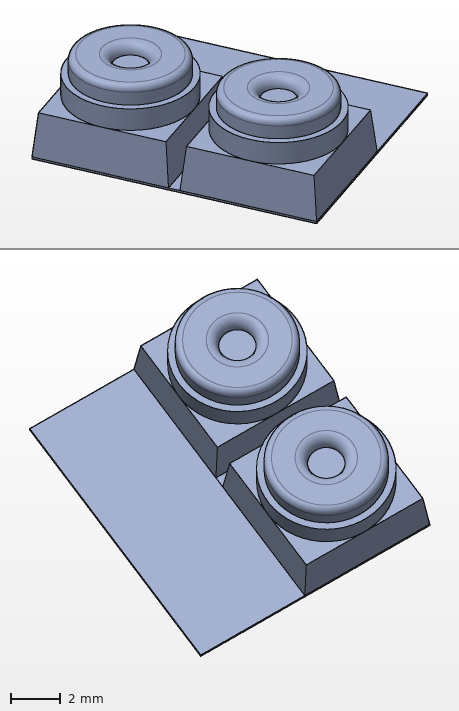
import cadquery as cq

total_width = 12.5
total_depth = 11.0
total_height = 4.0

board_thickness = 0.1

housing_side = 6.0
housing_height = 2.0
housing_taper_inset = 0.2
housing_top_side = housing_side - 2 * housing_taper_inset
housing_top_z = board_thickness + housing_height

collar_diameter = housing_top_side
collar_height = 1.0
barrel_diameter = 5.0
barrel_height = total_height - housing_top_z - collar_height
barrel_edge_radius = 0.3
lens_diameter = 1.5
lens_mouth_radius = 0.5

front_y = -total_depth / 2
housing_y = front_y + housing_side / 2
camera_x = (total_width - housing_side) / 2
camera_positions = [-camera_x, camera_x]
tail_depth = total_depth - housing_side
tail_y = front_y + housing_side + tail_depth / 2


def make_board(depth, center_y):
    """Flat board across the full width, resting on Z = 0."""
    return (
        cq.Workplane("XY")
        .center(0, center_y)
        .box(total_width, depth, board_thickness, centered=(True, True, False))
    )


def make_housing(center_x):
    """Square frustum that narrows equally on all four sides."""
    return (
        cq.Workplane("XY", origin=(center_x, housing_y, board_thickness))
        .rect(housing_side, housing_side)
        .workplane(offset=housing_height)
        .rect(housing_top_side, housing_top_side)
        .loft(ruled=True)
    )


def make_lens_barrel(center_x):
    """Collar and rounded barrel with a flared lens recess in the top."""
    collar = cq.Workplane("XY").circle(collar_diameter / 2).extrude(collar_height)
    barrel = (
        cq.Workplane("XY", origin=(0, 0, collar_height))
        .circle(barrel_diameter / 2)
        .extrude(barrel_height)
        .faces(">Z")
        .edges()
        .fillet(barrel_edge_radius)
    )
    body = collar.union(barrel).cut(make_lens_recess())
    return body.translate((center_x, housing_y, housing_top_z))


def make_lens_recess():
    """Recess whose wall is a convex quarter round from the top face to the flat lens."""
    top_z = collar_height + barrel_height
    floor_z = top_z - lens_mouth_radius
    lens_radius = lens_diameter / 2
    mouth_radius = lens_radius + lens_mouth_radius
    return (
        cq.Workplane("XZ")
        .moveTo(0, floor_z)
        .lineTo(lens_radius, floor_z)
        .radiusArc((mouth_radius, top_z), lens_mouth_radius)
        .lineTo(0, top_z)
        .close()
        .revolve(360, (0, 0, 0), (0, 1, 0))
    )


camera_board = make_board(housing_side, housing_y)
tail_board = make_board(tail_depth, tail_y)
housings = [make_housing(x) for x in camera_positions]
lens_barrels = [make_lens_barrel(x) for x in camera_positions]

result = cq.Compound.makeCompound([
    camera_board.val(),
    tail_board.val(),
    *[housing.val() for housing in housings],
    *[lens_barrel.val() for lens_barrel in lens_barrels],
])